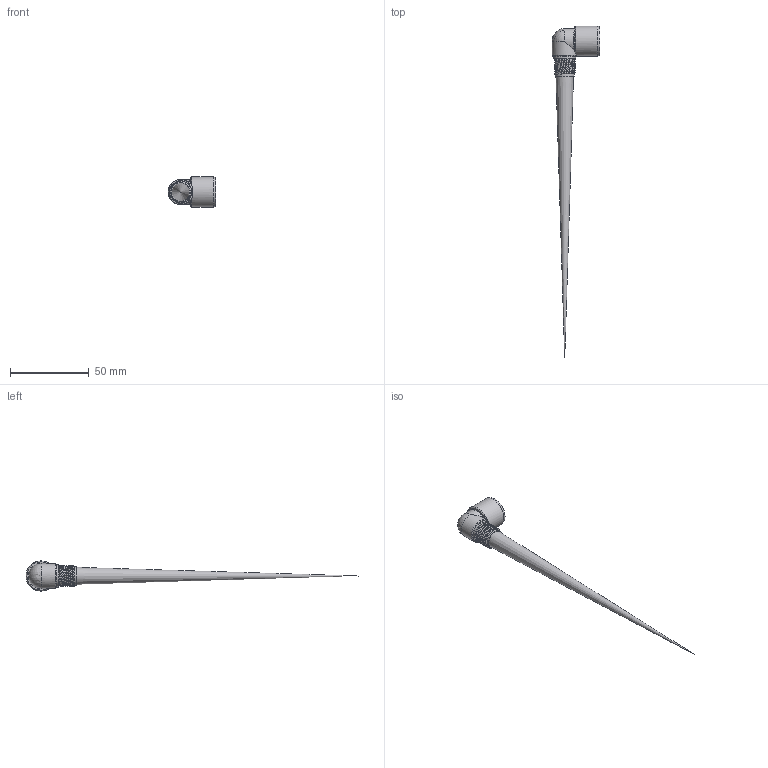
import cadquery as cq

overall_x = 30.16
overall_y = 210.34
cap_diameter = 19.05
elbow_diameter = 15.875
collar_diameter = 13.97
thread_major_diameter = 13.5
thread_minor_diameter = 12.0
spike_diameter = 11.11

cap_radius = cap_diameter / 2
elbow_radius = elbow_diameter / 2
collar_radius = collar_diameter / 2
thread_major_radius = thread_major_diameter / 2
thread_minor_radius = thread_minor_diameter / 2
spike_radius = spike_diameter / 2

cap_length = elbow_diameter
cap_end_x = overall_x - elbow_radius
cap_start_x = cap_end_x - cap_length
cap_inner_chamfer = 0.6
cap_end_taper_length = 1.5
cap_end_taper_depth = 0.5

limb_end = cap_radius
limb_end_fillet = 0.6
threaded_stem_length = 12.7
collar_length = 1.4
stem_end = limb_end + threaded_stem_length
spike_tip = overall_y - cap_radius

thread_pitch = 25.4 / 18
thread_turns = 6.8
thread_root_width = 1.2
thread_crest_width = 0.3
thread_embed = 0.2


def make_limb(length):
    """Cylinder along +X from the elbow centre with a rounded far edge."""
    return cq.Workplane("YZ").circle(elbow_radius).extrude(length).faces(">X").edges().fillet(limb_end_fillet)


def make_corner():
    """Quarter sphere closing the outer side of the elbow (-X, +Y)."""
    half_disc = cq.Workplane("YZ").moveTo(0, -elbow_radius).lineTo(0, elbow_radius)
    half_disc = half_disc.radiusArc((0, -elbow_radius), elbow_radius).close()
    return half_disc.revolve(90, (0, 0, 0), (0, 1, 0))


def make_elbow():
    """Two limbs at a right angle, mitred where they meet, with a round outer corner."""
    block_size = 4 * cap_diameter
    cap_side = (
        cq.Workplane("XY")
        .box(block_size, block_size, block_size)
        .translate((0, block_size / 2, 0))
        .rotate((0, 0, 0), (0, 0, 1), -45)
    )
    cap_limb = make_limb(cap_start_x).intersect(cap_side)
    spike_limb = make_limb(limb_end).rotate((0, 0, 0), (0, 0, 1), -90)
    spike_limb = spike_limb.cut(cap_side)
    return cap_limb.union(spike_limb).union(make_corner())


def make_cap():
    """Large cylinder with a chamfered inner rim and a slightly tapered outer end."""
    profile = [
        (cap_start_x, 0),
        (cap_start_x, cap_radius - cap_inner_chamfer),
        (cap_start_x + cap_inner_chamfer, cap_radius),
        (cap_end_x - cap_end_taper_length, cap_radius),
        (cap_end_x, cap_radius - cap_end_taper_depth),
        (cap_end_x, 0),
    ]
    return cq.Workplane("XY").polyline(profile).close().revolve(360, (0, 0, 0), (1, 0, 0))


def make_stem_and_spike():
    """Collar, thread core and long pointed spike, revolved about the Y axis."""
    profile = [
        (0, -elbow_radius),
        (collar_radius, -elbow_radius),
        (collar_radius, -limb_end - collar_length),
        (thread_minor_radius, -limb_end - collar_length),
        (thread_minor_radius, -stem_end),
        (spike_radius, -stem_end),
        (0, -spike_tip),
    ]
    return cq.Workplane("XY").polyline(profile).close().revolve(360, (0, 0, 0), (0, 1, 0))


def make_thread():
    """Helical ridge with a tapered section, slightly sunk into the stem core."""
    height = thread_pitch * thread_turns
    half_root = thread_root_width / 2
    half_crest = thread_crest_width / 2
    inner_radius = thread_minor_radius - thread_embed
    path = cq.Wire.makeHelix(thread_pitch, height, thread_minor_radius)
    section = [
        (inner_radius, -half_root),
        (thread_major_radius, -half_crest),
        (thread_major_radius, half_crest),
        (inner_radius, half_root),
    ]
    ridge = cq.Workplane("XZ").polyline(section).close().sweep(path, isFrenet=True)
    thread_start = limb_end + collar_length + half_root
    return ridge.rotate((0, 0, 0), (1, 0, 0), 90).translate((0, -thread_start, 0))


result = make_elbow().union(make_cap()).union(make_stem_and_spike()).union(make_thread())